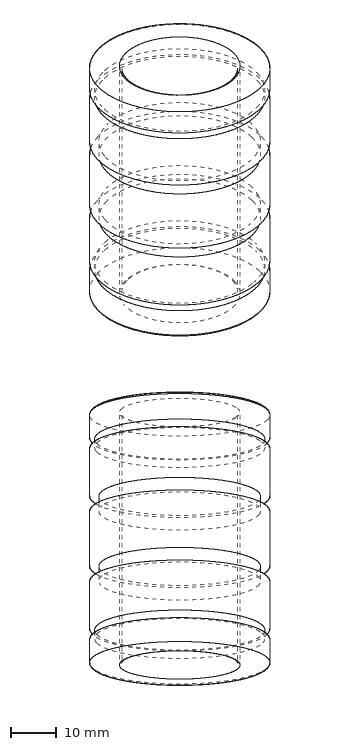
import cadquery as cq
import math

outer_diameter = 39.66
length = 56.96
bore_diameter = 25.4

liner_wall = 0.55
liner_outer_diameter = bore_diameter + 2 * liner_wall

end_round = 0.75
end_round_depth = 0.5
end_round_width = math.sqrt(end_round**2 - (end_round - end_round_depth) ** 2)

ring_groove_diameter = 37.4
ring_groove_width = 1.9
ring_groove_offset = 21.55
ring_groove_round = 0.4

wide_groove_diameter = 35.5
wide_groove_width = 3.3
wide_groove_offset = 7.9
wide_groove_round = 0.15

half_length = length / 2


def turn(profile):
    """Solid of revolution about Z from a closed profile of (radius, height) points."""
    return profile.close().revolve(360, (0, 0), (0, 1))


def groove_band(height, floor_diameter, width):
    """Ring of material that a square groove removes from the shell."""
    band = cq.Workplane("XY").workplane(offset=height - width / 2)
    return band.circle(outer_diameter / 2).circle(floor_diameter / 2).extrude(width)


def end_corner(end):
    """Ring of material outside the rounded outer corner at the top (end = 1) or bottom (end = -1)."""
    side_radius = outer_diameter / 2
    face_height = end * half_length
    profile = (
        cq.Workplane("XZ")
        .moveTo(side_radius - end_round_width, face_height)
        .radiusArc((side_radius, face_height - end * end_round_depth), end * end_round)
        .lineTo(side_radius, face_height)
    )
    return turn(profile)


def corner_heights(offset, width):
    """Heights of the four outer corners of a mirrored pair of grooves."""
    return [end * offset + side * width / 2 for end in (1, -1) for side in (1, -1)]


def round_outer_corners(shell, heights, radius):
    """Round the full-diameter circular edges that lie at the given heights."""
    margin = 0.01
    reach = outer_diameter / 2 + margin
    for height in heights:
        corner = cq.selectors.BoxSelector(
            (-reach, -reach, height - margin),
            (reach, reach, height + margin),
            boundingbox=True,
        )
        shell = shell.edges(corner).edges(cq.selectors.RadiusNthSelector(-1)).fillet(radius)
    return shell


def make_shell():
    """Grooved outer tube with rounded outer corners."""
    blank = cq.Workplane("XY").circle(outer_diameter / 2).circle(liner_outer_diameter / 2)
    shell = blank.extrude(half_length, both=True)
    for end in (1, -1):
        shell = shell.cut(end_corner(end))
        shell = shell.cut(groove_band(end * ring_groove_offset, ring_groove_diameter, ring_groove_width))
        shell = shell.cut(groove_band(end * wide_groove_offset, wide_groove_diameter, wide_groove_width))

    ring_corners = corner_heights(ring_groove_offset, ring_groove_width)
    shell = round_outer_corners(shell, ring_corners, ring_groove_round)
    wide_corners = corner_heights(wide_groove_offset, wide_groove_width)
    return round_outer_corners(shell, wide_corners, wide_groove_round)


def make_liner():
    """Thin sleeve whose rounded ends run from the bore up to the end faces of the shell."""
    bore_radius = bore_diameter / 2
    outer_radius = bore_radius + liner_wall
    straight_half = half_length - liner_wall
    profile = (
        cq.Workplane("XZ")
        .moveTo(outer_radius, -half_length)
        .lineTo(outer_radius, half_length)
        .radiusArc((bore_radius, straight_half), -liner_wall)
        .lineTo(bore_radius, -straight_half)
        .radiusArc((outer_radius, -half_length), -liner_wall)
    )
    return turn(profile)


shell = make_shell()
liner = make_liner()
result = cq.Compound.makeCompound([shell.val(), liner.val()])